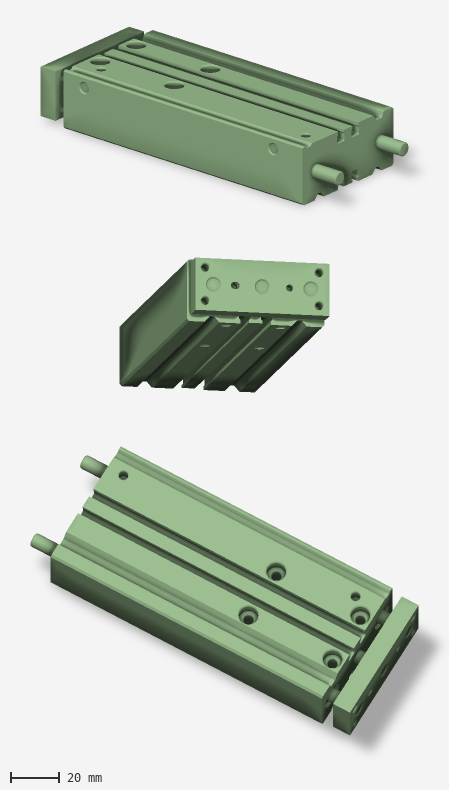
import cadquery as cq
import math


housing_start = 12.9
housing_end = 142.0
housing_length = housing_end - housing_start
housing_width = 58.0
housing_height = 26.0
housing_chamfer = 1.0
side_bevel_height = 0.5
half_width = housing_width / 2
half_height = housing_height / 2

rib_half_width = 2.8
rib_step = 0.5
slot_outer_y = 6.4
slot_lip = 1.5
slot_undercut = 0.6
slot_depth = 5.5
slot_floor_chamfer = 0.5

bottom_groove_y = 18.5
bottom_groove_mouth = 6.2
bottom_groove_floor = 1.9
bottom_groove_depth = 2.5
wide_groove_start = 16.1
wide_groove_floor_start = 18.3
wide_groove_floor_end = 21.2
wide_groove_end = 23.1
wide_groove_lip = 22.5
wide_groove_lip_depth = 0.3
wide_groove_knee = 22.0
wide_groove_knee_depth = 1.9
wide_groove_depth = 2.6
shallow_groove_y = -25.1
shallow_groove_mouth = 4.3
shallow_groove_depth = 1.1

rod_diameter = 6.0
guide_spacing = 41.0
guide_ys = (-guide_spacing / 2, guide_spacing / 2)
overall_length = 155
rod_tip_chamfer = 0.5
piston_rod_end = 43.5
bushing_recess_diameter = 12.0
bushing_recess_depth = 1.5

mount_x = 18.0
mount_pitch_x = 40.0
mount_pitch_y = 23.0
mount_hole_diameter = 4.2
mount_hole_rim_diameter = 5.0
mount_bore_diameter = 8.0
mount_rim_diameter = 9.0
mount_bore_depth = 4.5

top_port_diameter = 3.9
top_port_rim_diameter = 4.6
top_port_depth = 5.0
top_port_y = -18.0
top_port_xs = (24.0, 134.4)
side_port_rim_diameter = 5.5
side_port_floor_diameter = 4.2
side_port_z = 8.0
side_port_xs = (24.0, 125.9)
drill_point_angle = 118

plate_thickness = 8.0
plate_width = 56.5
plate_height = 22.0
plate_hole_diameter = 3.3
plate_hole_rim_diameter = 4.2
plate_hole_pitch_y = 48
plate_hole_pitch_z = 14
rod_recess_rim_diameter = 6.5
rod_recess_floor_diameter = 5.5
locating_hole_diameter = 3.0
locating_hole_depth = 5.0
locating_pitch_y = 23.0
locating_slot_length = 3.7
locating_slot_depth = 2.0


def x_cylinder(diameter, start, end, y=0, z=0):
    """Round bar along X."""
    return cq.Workplane("YZ", origin=(start, y, z)).circle(diameter / 2).extrude(end - start)


def downward_cone(top_diameter, bottom_diameter, height):
    """Cone or frustum that goes down from the XY plane."""
    cone = cq.Solid.makeCone(top_diameter / 2, bottom_diameter / 2, height, dir=cq.Vector(0, 0, -1))
    return cq.Workplane(obj=cone)


def flat_hole(diameter, depth):
    """Cutter for a flat-bottomed hole that goes down from the XY plane."""
    return cq.Workplane("XY").circle(diameter / 2).extrude(-depth)


def drilled_hole(diameter, depth):
    """Cutter for a hole that ends in a drill point."""
    point_height = diameter / 2 / math.tan(math.radians(drill_point_angle / 2))
    point = downward_cone(diameter, 0, point_height).translate((0, 0, -depth))
    return flat_hole(diameter, depth).union(point)


def rim_bevel(rim_diameter, hole_diameter):
    """Cutter for a 45 degree bevel around a hole's mouth."""
    return downward_cone(rim_diameter, hole_diameter, (rim_diameter - hole_diameter) / 2)


def lengthwise_prism(points):
    """Prism along the whole housing with its section given as (y, z) points."""
    return cq.Workplane("YZ", origin=(housing_start, 0, 0)).polyline(points).close().extrude(housing_length)


def tee_slot():
    """Slot on the +Y side of the centre rib, open to the top."""
    top = half_height
    neck = top - slot_lip
    shoulder = neck - slot_undercut
    floor = top - slot_depth
    inner = rib_half_width - slot_undercut
    outer = slot_outer_y + slot_undercut
    return lengthwise_prism([
        (rib_half_width, top),
        (slot_outer_y, top),
        (slot_outer_y, neck),
        (outer, shoulder),
        (outer, floor + slot_floor_chamfer),
        (outer - slot_floor_chamfer, floor),
        (inner + slot_floor_chamfer, floor),
        (inner, floor + slot_floor_chamfer),
        (inner, shoulder),
        (rib_half_width, neck),
    ])


def rib_relief():
    """Strip that sets the centre rib back from the top face."""
    return (
        cq.Workplane("XY", origin=(housing_start, 0, half_height - rib_step))
        .rect(housing_length, 2 * rib_half_width)
        .extrude(rib_step)
        .translate((housing_length / 2, 0, 0))
    )


def trapezoid_groove(y, mouth, floor, depth):
    """Symmetric groove in the top face."""
    top = half_height
    return lengthwise_prism([
        (y - mouth / 2, top),
        (y + mouth / 2, top),
        (y + floor / 2, top - depth),
        (y - floor / 2, top - depth),
    ])


def wide_groove():
    """Groove in the top face whose outer flank has a bevelled lip, a steep wall and a sloped foot."""
    top = half_height
    return lengthwise_prism([
        (wide_groove_start, top),
        (wide_groove_end, top),
        (wide_groove_lip, top - wide_groove_lip_depth),
        (wide_groove_knee, top - wide_groove_knee_depth),
        (wide_groove_floor_end, top - wide_groove_depth),
        (wide_groove_floor_start, top - wide_groove_depth),
    ])


def make_housing():
    body = lengthwise_prism([
        (half_width, half_height - housing_chamfer),
        (half_width - housing_chamfer, half_height),
        (housing_chamfer - half_width, half_height),
        (-half_width, half_height - side_bevel_height),
        (-half_width, housing_chamfer - half_height),
        (housing_chamfer - half_width, -half_height),
        (half_width - housing_chamfer, -half_height),
        (half_width, housing_chamfer - half_height),
    ])

    right_slot = tee_slot().mirror("XZ")
    for cutter in (tee_slot(), right_slot, rib_relief()):
        body = body.cut(cutter).cut(cutter.mirror("XY"))

    body = body.cut(wide_groove())
    shallow_floor = shallow_groove_mouth - 2 * shallow_groove_depth
    body = body.cut(
        trapezoid_groove(shallow_groove_y, shallow_groove_mouth, shallow_floor, shallow_groove_depth)
    )
    for y in (-bottom_groove_y, bottom_groove_y):
        groove = trapezoid_groove(y, bottom_groove_mouth, bottom_groove_floor, bottom_groove_depth)
        body = body.cut(groove.mirror("XY"))

    for y in guide_ys:
        body = body.cut(x_cylinder(rod_diameter, housing_start, housing_end, y))
        recess_end = housing_start + bushing_recess_depth
        body = body.cut(x_cylinder(bushing_recess_diameter, housing_start, recess_end, y))
    body = body.cut(x_cylinder(rod_diameter, housing_start, piston_rod_end))

    floor_bevel = rim_bevel(mount_hole_rim_diameter, mount_hole_diameter).translate((0, 0, -mount_bore_depth))
    mount_cutter = (
        flat_hole(mount_hole_diameter, housing_height)
        .union(flat_hole(mount_bore_diameter, mount_bore_depth))
        .union(rim_bevel(mount_rim_diameter, mount_bore_diameter))
        .union(floor_bevel)
    )
    for x in (mount_x, mount_x + mount_pitch_x):
        for y in (-mount_pitch_y / 2, mount_pitch_y / 2):
            body = body.cut(mount_cutter.translate((x, y, half_height)))

    top_port = drilled_hole(top_port_diameter, top_port_depth)
    top_port = top_port.union(rim_bevel(top_port_rim_diameter, top_port_diameter))
    for x in top_port_xs:
        body = body.cut(top_port.translate((x, top_port_y, half_height)))
    side_port = rim_bevel(side_port_rim_diameter, side_port_floor_diameter)
    side_port = side_port.rotate((0, 0, 0), (1, 0, 0), 90)
    for x in side_port_xs:
        body = body.cut(side_port.translate((x, -half_width, side_port_z)))
    return body


def face_cutter(cutter):
    """Turn a downward cutter so that it enters the plate's outer face along +X."""
    return cutter.rotate((0, 0, 0), (0, 1, 0), -90)


def make_carriage():
    """End plate with the piston rod and the two guide rods fixed to it."""
    body = cq.Workplane("XY", origin=(plate_thickness / 2, 0, 0)).box(
        plate_thickness, plate_width, plate_height
    )
    body = body.union(x_cylinder(rod_diameter, plate_thickness, piston_rod_end))
    for y in guide_ys:
        rod = x_cylinder(rod_diameter, plate_thickness, overall_length, y)
        body = body.union(rod.faces(">X").chamfer(rod_tip_chamfer))

    corner = face_cutter(
        flat_hole(plate_hole_diameter, plate_thickness)
        .union(rim_bevel(plate_hole_rim_diameter, plate_hole_diameter))
    )
    for y in (-plate_hole_pitch_y / 2, plate_hole_pitch_y / 2):
        for z in (-plate_hole_pitch_z / 2, plate_hole_pitch_z / 2):
            body = body.cut(corner.translate((0, y, z)))

    recess = face_cutter(rim_bevel(rod_recess_rim_diameter, rod_recess_floor_diameter))
    for y in (*guide_ys, 0):
        body = body.cut(recess.translate((0, y, 0)))

    hole = face_cutter(flat_hole(locating_hole_diameter, locating_hole_depth))
    body = body.cut(hole.translate((0, -locating_pitch_y / 2, 0)))
    drilled = face_cutter(drilled_hole(locating_hole_diameter, locating_hole_depth))
    slot = (
        cq.Workplane("YZ")
        .slot2D(locating_slot_length, locating_hole_diameter)
        .extrude(locating_slot_depth)
    )
    body = body.cut(drilled.union(slot).translate((0, locating_pitch_y / 2, 0)))
    return body


housing = make_housing()
carriage = make_carriage()

result = cq.Compound.makeCompound([housing.val(), carriage.val()])